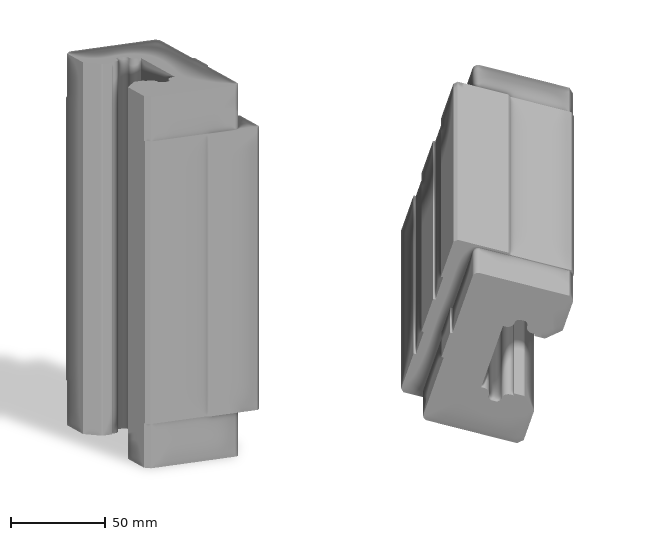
import cadquery as cq
import math

length = 205.0
block_width = 100.0
block_height = 67.0
cap_length = 24.6
block_length = length - 2 * cap_length

flank_step = 1.0
flank_step_bottom = 35.7
flank_step_top = 37.1
block_bottom_chamfer = 2.0
block_top_chamfer = 1.8
groove_inner = 10.7
groove_outer = 25.2
groove_depth = 1.2

cap_width = 96.8
cap_height = 55.5
cap_bottom_chamfer = 2.9
cap_top_radius = 3.0
cap_bump_width = 16.0
cap_bump_height = 1.2

roof_height = 31.2
wall_half = 20.0
lip_half = 18.9
lip_top = 13.3
lip_chamfer = 7.5
lip_edge_radius = 1.6
mouth_angle = math.radians(45)
race_half = 26.5
race_height = 22.4
race_half_height = 3.5
race_corner_radius = 2.7
race_edge_radius = race_half - race_corner_radius - wall_half


def mirrored_prism(half_outline, bottom, height):
    """Extrude a half outline drawn on the +X side, closed on the middle plane, and mirror it."""
    half = half_outline.close().extrude(height).translate((0, 0, bottom))
    return half.union(half.mirror("YZ"))


def make_block():
    half = block_width / 2
    lower_half = half - flank_step
    outline = (
        cq.Workplane("XY")
        .moveTo(0, 0)
        .lineTo(lower_half - block_bottom_chamfer, 0)
        .lineTo(lower_half, block_bottom_chamfer)
        .lineTo(lower_half, flank_step_bottom)
        .lineTo(half, flank_step_top)
        .lineTo(half, block_height - block_top_chamfer)
        .lineTo(half - block_top_chamfer, block_height)
        .lineTo(groove_outer, block_height)
        .lineTo(groove_outer, block_height - groove_depth)
        .lineTo(groove_inner, block_height - groove_depth)
        .lineTo(groove_inner, block_height)
        .lineTo(0, block_height)
    )
    return mirrored_prism(outline, -block_length / 2, block_length)


def make_caps():
    """Both end caps as one full-length bar; the block covers its middle."""
    half = cap_width / 2
    bump_half = cap_bump_width / 2
    outline = (
        cq.Workplane("XY")
        .moveTo(0, 0)
        .lineTo(half - cap_bottom_chamfer, 0)
        .lineTo(half, cap_bottom_chamfer)
        .lineTo(half, cap_height - cap_top_radius)
        .radiusArc((half - cap_top_radius, cap_height), -cap_top_radius)
        .lineTo(bump_half, cap_height)
        .lineTo(bump_half, cap_height + cap_bump_height)
        .lineTo(0, cap_height + cap_bump_height)
    )
    return mirrored_prism(outline, -length / 2, length)


def make_channel():
    """Rail channel with a rounded ball race in each side wall and a flared mouth."""
    race_bottom = race_height - race_half_height
    race_top = race_height + race_half_height
    tangent_length = lip_edge_radius * math.tan(mouth_angle / 2)
    tangent_run = tangent_length * math.cos(mouth_angle)
    corner_start = race_half - race_corner_radius
    outline = (
        cq.Workplane("XY")
        .moveTo(0, 0)
        .lineTo(lip_half + lip_chamfer, 0)
        .lineTo(lip_half + tangent_run, lip_chamfer - tangent_run)
        .radiusArc((lip_half, lip_chamfer + tangent_length), lip_edge_radius)
        .lineTo(lip_half, lip_top)
        .lineTo(wall_half, lip_top)
        .lineTo(wall_half, race_bottom - race_edge_radius)
        .radiusArc((corner_start, race_bottom), race_edge_radius)
        .radiusArc((race_half, race_bottom + race_corner_radius), -race_corner_radius)
        .lineTo(race_half, race_top - race_corner_radius)
        .radiusArc((corner_start, race_top), -race_corner_radius)
        .radiusArc((wall_half, race_top + race_edge_radius), race_edge_radius)
        .lineTo(wall_half, roof_height)
        .lineTo(0, roof_height)
    )
    return mirrored_prism(outline, -length / 2, length)


result = make_block().union(make_caps()).cut(make_channel())